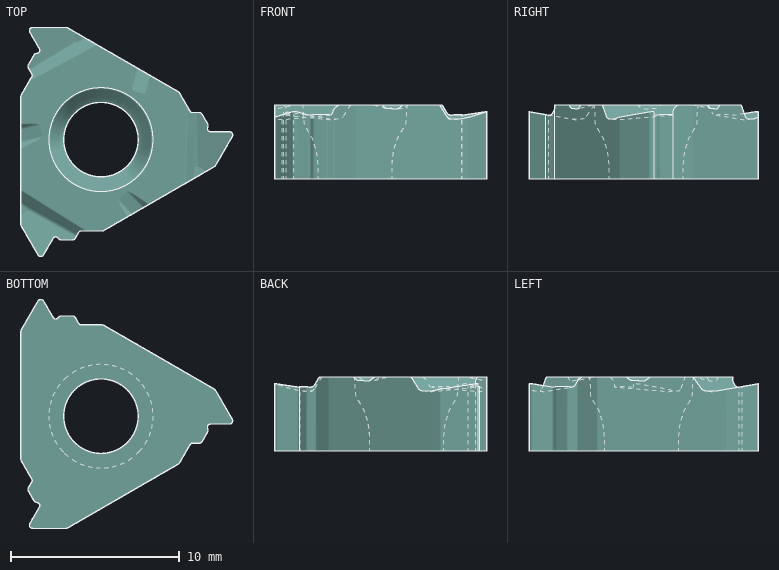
import cadquery as cq
import math


CORNERS = 3
length = 13.57
height = 4.4
side_distance = 4.75

tip_y = -7.12
flank_angle = 60
notch_peak_y = -5.66
notch_exit_angle = 45
crest_y = -5.95
crest_end_x = -1.57
shoulder_y = -5.41
edge_radius = 0.2
notch_radius = 0.16
root_radius = 0.14

bore_diameter = 4.4
seat_diameter = 6.16
seat_floor_diameter = 6.03
seat_depth = 1.05
seat_blend_radius = 0.43
bowl_angle = 36

tip_drop = 0.41
rake_angle = 10
wall_azimuth = -122
wall_distance = 5.1
wall_slope = 59
guard_y = -4.48
guard_angle = 6
groove_radius = 0.3
groove_edge_radius = 0.16
cutter_size = 10.85

dent_end_x = -3.53
dent_end_y = 0.53
dent_skew = 14
dent_fall = 10.5
dent_floor_width = 0.83
dent_wall_angle = 40
dent_radius = 0.27
dent_edge_radius = 0.11
dent_length = 2.71
dent_headroom = 0.68


def tan(degrees):
    return math.tan(math.radians(degrees))


def direction(azimuth, elevation=0):
    """Unit vector from a heading in the XY plane and a rise above it, in degrees."""
    a = math.radians(azimuth)
    e = math.radians(elevation)
    return cq.Vector(math.cos(a) * math.cos(e), math.sin(a) * math.cos(e), math.sin(e))


def corner_turns():
    return [corner * 360 / CORNERS for corner in range(CORNERS)]


def turned(shape, angle):
    return shape.rotate((0, 0, 0), (0, 0, 1), angle)


def turned_point(x, y, angle):
    a = math.radians(angle)
    return (x * math.cos(a) - y * math.sin(a), x * math.sin(a) + y * math.cos(a))


def corner_points():
    """Outline corners around the -Y tooth, each with its rounding radius."""
    flank_distance = length + tip_y + edge_radius
    flank_facing = direction(90 + 360 / CORNERS)
    tip_x = (flank_distance - tip_y * flank_facing.y) / flank_facing.x
    heel_y = tip_y + (tip_x + side_distance) * tan(flank_angle)
    notch_x = tip_x + (notch_peak_y - tip_y) / tan(flank_angle)
    crest_start_x = notch_x + (notch_peak_y - crest_y) / tan(notch_exit_angle)
    root_x = crest_end_x + (shoulder_y - crest_y) / tan(flank_angle)
    next_side = direction(180 + 360 / CORNERS)
    shoulder_end_x = (side_distance - shoulder_y * next_side.y) / next_side.x
    return [
        (-side_distance, heel_y, edge_radius),
        (tip_x, tip_y, edge_radius),
        (notch_x, notch_peak_y, notch_radius),
        (crest_start_x, crest_y, edge_radius),
        (crest_end_x, crest_y, edge_radius),
        (root_x, shoulder_y, root_radius),
        (shoulder_end_x, shoulder_y, edge_radius),
    ]


def make_blank():
    corners = corner_points()
    outline = [turned_point(x, y, turn) for turn in corner_turns() for x, y, _ in corners]
    blank = cq.Workplane("XY").polyline(outline).close().extrude(height)
    for turn in corner_turns():
        for x, y, radius in corners:
            px, py = turned_point(x, y, turn)
            edge = cq.selectors.NearestToPointSelector((px, py, height / 2))
            blank = blank.edges("|Z").edges(edge).fillet(radius)
    return blank


def make_bore():
    bore_radius = bore_diameter / 2
    seat_floor_radius = seat_floor_diameter / 2
    lean = math.radians(bowl_angle)

    def on_blend(angle):
        r = seat_floor_radius - seat_blend_radius * (1 - math.cos(angle))
        return (r, height - seat_depth - seat_blend_radius * math.sin(angle))

    bowl_top_r, bowl_top_z = on_blend(lean)
    bowl_radius = (bowl_top_r - bore_radius) / (1 - math.cos(lean))
    bowl_bottom_z = bowl_top_z - bowl_radius * math.sin(lean)

    def on_bowl(angle):
        r = bore_radius + bowl_radius * (1 - math.cos(angle))
        return (r, bowl_bottom_z + bowl_radius * math.sin(angle))

    return (
        cq.Workplane("XZ")
        .moveTo(0, height)
        .lineTo(seat_diameter / 2, height)
        .lineTo(seat_floor_radius, height - seat_depth)
        .threePointArc(on_blend(lean / 2), (bowl_top_r, bowl_top_z))
        .threePointArc(on_bowl(lean / 2), (bore_radius, bowl_bottom_z))
        .lineTo(bore_radius, 0)
        .lineTo(0, 0)
        .close()
        .revolve(360, (0, 0, 0), (0, 1, 0))
    )


def block_above(point, normal):
    """Large block that stands on the plane through point, on the normal side."""
    plane = cq.Plane(origin=point, normal=normal)
    return cq.Workplane(plane).box(cutter_size, cutter_size, cutter_size, centered=(True, True, False))


def make_groove():
    """Space above the tooth floor and in front of the groove wall."""
    wall_normal = direction(wall_azimuth, 90 - wall_slope)
    wall_point = direction(wall_azimuth) * wall_distance + cq.Vector(0, 0, height)
    wall_block = block_above(wall_point, wall_normal)

    rounded_tip_y = tip_y + edge_radius
    guard_z = height - tip_drop - (guard_y - rounded_tip_y) * tan(rake_angle)
    guard_point = cq.Vector(-side_distance, guard_y, guard_z)
    rake_normal = direction(90, 90 - rake_angle)
    guard_normal = direction(0, 90 - guard_angle)

    groove = None
    for floor_normal in (rake_normal, guard_normal):
        root = cq.selectors.ParallelDirSelector(wall_normal.cross(floor_normal))
        lowest = cq.selectors.NearestToPointSelector(guard_point.toTuple())
        channel = wall_block.intersect(block_above(guard_point, floor_normal))
        channel = channel.edges(root).edges(lowest).fillet(groove_radius)
        groove = channel if groove is None else groove.intersect(channel)
    return groove


def round_groove_edge(body, turn):
    top_edge = direction(wall_azimuth + turn) * wall_distance + cq.Vector(0, 0, height)
    nearest = cq.selectors.NearestToPointSelector(top_edge.toTuple())
    return body.faces(">Z").edges(nearest).fillet(groove_edge_radius)


def make_dent():
    """Flat-bottomed channel in the -X side that deepens outward."""
    outward = direction(180 + dent_skew, -dent_fall)
    across = direction(-90 + dent_skew)
    plane = cq.Plane(origin=(dent_end_x, dent_end_y, height), xDir=across, normal=outward)
    half_floor = dent_floor_width / 2
    half_top = half_floor + dent_headroom / tan(dent_wall_angle)
    profile = [
        (-half_floor, 0),
        (half_floor, 0),
        (half_top, dent_headroom),
        (-half_top, dent_headroom),
    ]
    channel = cq.Workplane(plane).polyline(profile).close().extrude(dent_length)
    for x in (-half_floor, half_floor):
        floor_edge = plane.toWorldCoords((x, 0, dent_length / 2)).toTuple()
        channel = channel.edges(cq.selectors.NearestToPointSelector(floor_edge)).fillet(dent_radius)
    return channel


def round_dent_edge(body):
    """Round the top edge of the dent that lies in the -X side."""
    near = (-side_distance, dent_end_y - dent_floor_width, height - dent_edge_radius)
    far = (dent_end_x, dent_end_y + dent_floor_width, height + dent_edge_radius)
    wall_edges = cq.selectors.BoxSelector(near, far)
    return body.faces(">Z").edges("not |Y").edges(wall_edges).fillet(dent_edge_radius)


result = make_blank().cut(make_bore())
groove = make_groove()
for turn in corner_turns():
    result = result.cut(turned(groove, turn))
    result = round_groove_edge(result, turn)

dent = make_dent()
for _ in range(CORNERS):
    result = round_dent_edge(result.cut(dent))
    result = turned(result, 360 / CORNERS)